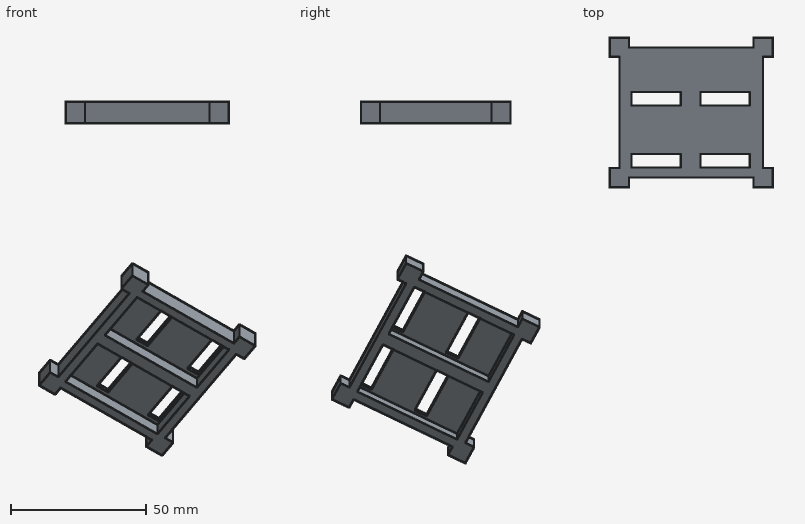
import cadquery as cq

length = 60.3
width = 55.35
height = 8.0

post_side = 7.2
post_overhang = 3.6

deck_thickness = 2.0
bay_end_margin = 1.55

slot_length = 18.15
slot_width = 4.95
slot_pitch_x = 25.5
slot_pitch_y = 22.9
slot_grid_x = -0.25
slot_grid_y = -6.4

body_length = length - 2 * post_overhang
body_width = width - 2 * post_overhang

bay_length = slot_length + 2 * (slot_grid_x + bay_end_margin)
wall_thickness = (body_length - slot_pitch_x - bay_length) / 2
bay_width = body_width - 2 * wall_thickness
bay_height = height - deck_thickness

body = cq.Workplane("XY").rect(body_length, body_width).extrude(height)

posts = (
    cq.Workplane("XY")
    .rarray(length - post_side, width - post_side, 2, 2)
    .rect(post_side, post_side)
    .extrude(height)
)

bays = (
    cq.Workplane("XY")
    .pushPoints([(-slot_pitch_x / 2, 0), (slot_pitch_x / 2, 0)])
    .rect(bay_length, bay_width)
    .extrude(bay_height)
)

slots = (
    cq.Workplane("XY")
    .center(slot_grid_x, slot_grid_y)
    .rarray(slot_pitch_x, slot_pitch_y, 2, 2)
    .rect(slot_length, slot_width)
    .extrude(height)
)

result = body.union(posts).cut(bays).cut(slots)